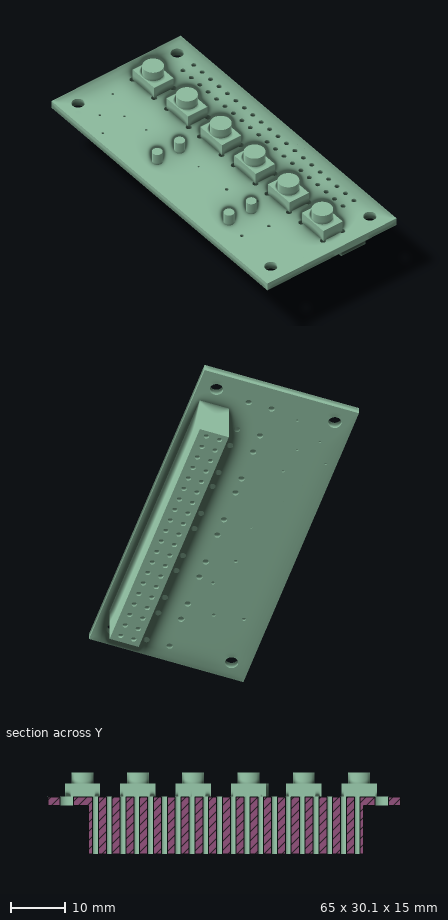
import cadquery as cq

board_length = 65.0
board_width = 30.1
board_thickness = 1.6

overall_height = 15.0

mount_hole_diameter = 2.5
mount_pitch_x = 58.05
mount_pitch_y = 23.1

header_length = 50.7
header_width = 5.65
header_center = (-0.3, 10.8)
socket_count = 20
socket_rows = 2
socket_diameter = 1.0
socket_span = 48.2
socket_row_pitch = 2.55
socket_center = (-0.4, 10.65)

button_count = 6
button_row_span = 50.95
button_row_center = (0.6, 2.7)
body_length = 6.5
body_width = 4.5
body_height = 2.4
cap_diameter = 4.0
cap_height = 2.0
leg_hole_diameter = 1.2
leg_pitch_x = body_length
leg_pitch_y = body_width
leg_pattern_centers = [-24.9, -14.5, -4.6, 5.6, 15.7, 25.95]

post_diameter = 2.0
post_height = body_height
post_columns = [-7.15, 14.4]
post_rows = [-4.8, -10.0]

small_via_diameter = 0.4
small_vias = [(-1.3, -4.9)]
medium_via_diameter = 0.5
medium_vias = [(-27.2, -4.9), (-20.85, -7.0), (-23.9, -10.4), (-19.55, -13.05), (-15.4, -6.2)]
large_via_diameter = 0.7
large_vias = [(6.9, -4.7), (12.95, -2.35), (19.8, -4.9), (18.9, -10.45)]

header_height = overall_height - board_thickness - body_height - cap_height


def block(center, length, width, bottom, height):
    """Upright rectangular block standing on the height 'bottom'."""
    return (
        cq.Workplane("XY", origin=(center[0], center[1], bottom))
        .rect(length, width)
        .extrude(height)
    )


def cylinders(points, diameter, bottom, height):
    """Upright round cylinders at the given XY points."""
    return (
        cq.Workplane("XY", origin=(0, 0, bottom))
        .pushPoints(points)
        .circle(diameter / 2)
        .extrude(height)
    )


def grid(center, pitch_x, pitch_y, count_x=2, count_y=2):
    """XY points of a rectangular grid around its centre."""
    return [
        (
            center[0] + (column - (count_x - 1) / 2) * pitch_x,
            center[1] + (row - (count_y - 1) / 2) * pitch_y,
        )
        for column in range(count_x)
        for row in range(count_y)
    ]


def board_holes(points, diameter):
    """Cutters for holes through the board alone."""
    return cylinders(points, diameter, -board_thickness, board_thickness)


board = block((0, 0), board_length, board_width, -board_thickness, board_thickness)
board = board.cut(board_holes(grid((0, 0), mount_pitch_x, mount_pitch_y), mount_hole_diameter))
for leg_x in leg_pattern_centers:
    leg_points = grid((leg_x, button_row_center[1]), leg_pitch_x, leg_pitch_y)
    board = board.cut(board_holes(leg_points, leg_hole_diameter))
board = board.cut(board_holes(small_vias, small_via_diameter))
board = board.cut(board_holes(medium_vias, medium_via_diameter))
board = board.cut(board_holes(large_vias, large_via_diameter))

header_bottom = -board_thickness - header_height
header = block(header_center, header_length, header_width, header_bottom, header_height)
socket_pitch = socket_span / (socket_count - 1)
socket_points = grid(socket_center, socket_pitch, socket_row_pitch, socket_count, socket_rows)
sockets = cylinders(socket_points, socket_diameter, header_bottom, header_height + board_thickness)
result = board.union(header).cut(sockets)

button_pitch = button_row_span / (button_count - 1)
button_points = grid(button_row_center, button_pitch, 0, button_count, 1)
for button_point in button_points:
    result = result.union(block(button_point, body_length, body_width, 0, body_height))
result = result.union(cylinders(button_points, cap_diameter, body_height, cap_height))

post_points = [(x, y) for x in post_columns for y in post_rows]
result = result.union(cylinders(post_points, post_diameter, 0, post_height))